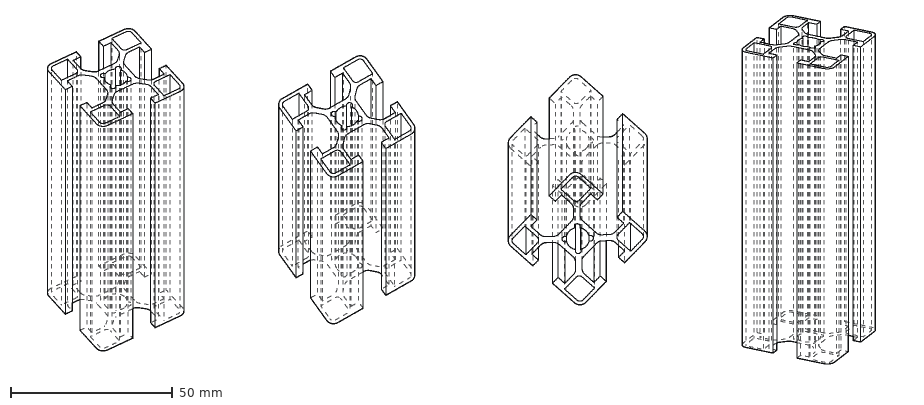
import cadquery as cq

width = 32.0
length = 100.0
corner_radius = 2.5

slot_opening = 8.3
slot_inner_width = 14.0
lip_thickness = 2.6
core_width = 10.6
slot_fillet = 2.5
diagonal_offset = 1.4

outer_wall = 1.2
chamber_wall = 1.2
chamber_radius = corner_radius - outer_wall

bore_diameter = 7.2
lobe_diameter = 1.8
lobe_center = 2.8

half_width = width / 2
half_slot = slot_inner_width / 2
half_core = core_width / 2


def slot_cutter():
    """T-slot on the +Y side: narrow mouth, wide channel and a floor with slanted sides."""
    lip_inner = half_width - lip_thickness
    slant_top = half_slot + diagonal_offset
    floor_half = half_core - diagonal_offset
    channel = (
        cq.Workplane("XY")
        .polyline([
            (-half_slot, lip_inner),
            (-half_slot, slant_top),
            (-floor_half, half_core),
            (floor_half, half_core),
            (half_slot, slant_top),
            (half_slot, lip_inner),
        ])
        .close()
        .extrude(length)
        .edges("|Z")
        .edges("not >Y")
        .fillet(slot_fillet)
    )
    mouth = (
        cq.Workplane("XY")
        .center(0, half_width - lip_thickness / 2)
        .rect(slot_opening, lip_thickness)
        .extrude(length)
    )
    return channel.union(mouth)


def chamber_cutter():
    """Square chamber in the +X +Y corner, rounded at its two corners on the diagonal."""
    inner = half_slot + chamber_wall
    size = half_width - outer_wall - inner
    chamber = cq.Workplane("XY").box(size, size, length, centered=False)
    for corner in (">(1, 1, 0)", "<(1, 1, 0)"):
        chamber = chamber.edges("|Z").edges(corner).fillet(chamber_radius)
    return chamber.translate((inner, inner, 0))


def bore_cutter():
    """Round through bore with four small round lobes."""
    lobes = (
        cq.Workplane("XY")
        .rect(2 * lobe_center, 2 * lobe_center, forConstruction=True)
        .vertices()
        .circle(lobe_diameter / 2)
        .extrude(length)
    )
    return cq.Workplane("XY").circle(bore_diameter / 2).extrude(length).union(lobes)


result = cq.Workplane("XY").rect(width, width).extrude(length).edges("|Z").fillet(corner_radius)

slot = slot_cutter()
chamber = chamber_cutter()
for angle in (0, 90, 180, 270):
    result = result.cut(slot.rotate((0, 0, 0), (0, 0, 1), angle))
    result = result.cut(chamber.rotate((0, 0, 0), (0, 0, 1), angle))

result = result.cut(bore_cutter())